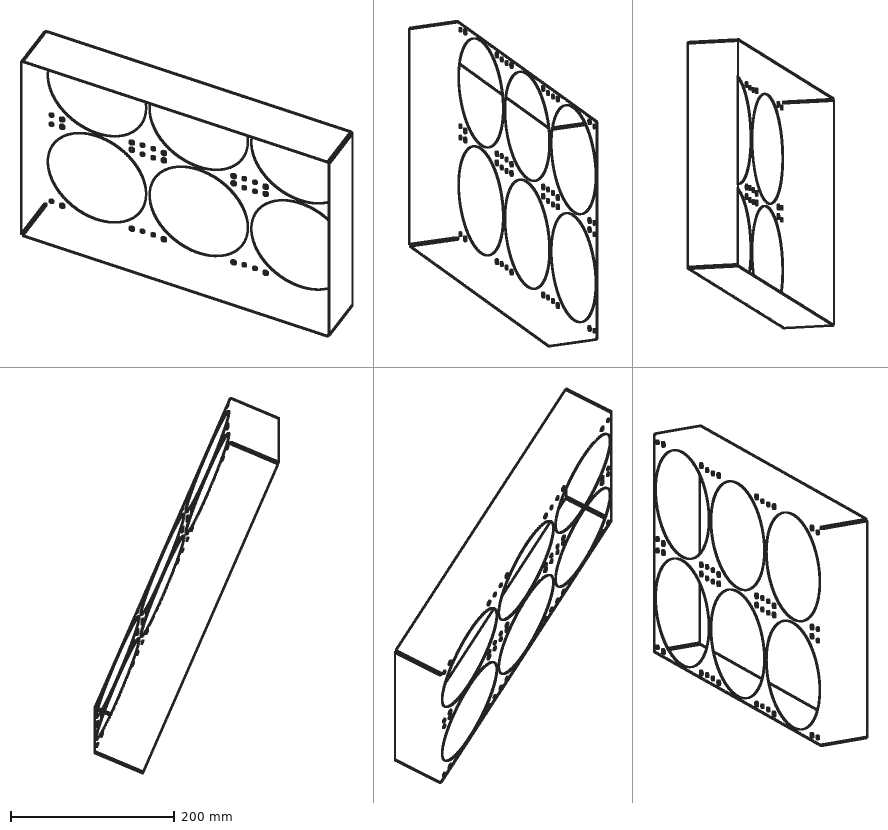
import cadquery as cq

LENGTH = 423.5
DEPTH = 65.0
HEIGHT = 283.5

THICKNESS = 1.0
BEND_INNER_RADIUS = 1.0
BEND_OUTER_RADIUS = BEND_INNER_RADIUS + THICKNESS

FLANGE_END_INSET = 2.5

FAN_COLUMNS = 3
FAN_ROWS = 2
FAN_PITCH = 139.7
OPENING_DIAMETER = 135.0
SCREW_SPACING = 125.0
SCREW_DIAMETER = 4.5
MOUNT_SPACING_X = 95.5
MOUNT_SPACING_Z = 128.0
MOUNT_DIAMETER = 6.0

FLAT_LENGTH = LENGTH - 2 * BEND_OUTER_RADIUS
FLAT_HEIGHT = HEIGHT - 2 * BEND_OUTER_RADIUS
SIDE_FLANGE_WIDTH = HEIGHT - 2 * FLANGE_END_INSET
LONG_FLANGE_WIDTH = LENGTH - 2 * FLANGE_END_INSET
BACK_Y = DEPTH / 2
FRONT_Y = -DEPTH / 2


def make_plate():
    """Flat rear plate, its outer face at BACK_Y."""
    return cq.Workplane("XY").box(FLAT_LENGTH, THICKNESS, FLAT_HEIGHT).translate(
        (0, BACK_Y - THICKNESS / 2, 0)
    )


def make_folded_flange(outer_x, width):
    """Fold and flange on the +X edge, with the flange's outer face at outer_x."""
    fold_x = outer_x - BEND_OUTER_RADIUS
    fold_y = BACK_Y - BEND_OUTER_RADIUS
    inner_x = outer_x - THICKNESS
    return (
        cq.Workplane("XY", origin=(0, 0, -width / 2))
        .moveTo(fold_x, BACK_Y)
        .radiusArc((outer_x, fold_y), BEND_OUTER_RADIUS)
        .lineTo(outer_x, FRONT_Y)
        .lineTo(inner_x, FRONT_Y)
        .lineTo(inner_x, fold_y)
        .radiusArc((fold_x, BACK_Y - THICKNESS), -BEND_INNER_RADIUS)
        .close()
        .extrude(width)
    )


def turn_about_y(body, angle):
    """Turn a body about the Y axis by an angle in degrees."""
    return body.rotate((0, 0, 0), (0, 1, 0), angle)


def make_cutters(points, diameter):
    """Cylinders along Y at the given (x, z) points, long enough to pierce the plate."""
    return (
        cq.Workplane("XZ", origin=(0, BACK_Y, 0))
        .pushPoints(points)
        .circle(diameter / 2)
        .extrude(2 * THICKNESS, both=True)
    )


def grid_points(columns, rows, pitch_x, pitch_z):
    """Points of a rectangular grid centred on the origin."""
    return [
        ((column - (columns - 1) / 2) * pitch_x, (row - (rows - 1) / 2) * pitch_z)
        for column in range(columns)
        for row in range(rows)
    ]


def around_each_fan(fan_centres, offsets):
    """Repeat a hole pattern around every fan centre."""
    return [(x + dx, z + dz) for x, z in fan_centres for dx, dz in offsets]


side_flange = make_folded_flange(LENGTH / 2, SIDE_FLANGE_WIDTH)
long_flange = make_folded_flange(HEIGHT / 2, LONG_FLANGE_WIDTH)
tray = make_plate()
for flange, first_angle in ((side_flange, 0), (long_flange, 90)):
    tray = tray.union(turn_about_y(flange, first_angle))
    tray = tray.union(turn_about_y(flange, first_angle + 180))

fan_centres = grid_points(FAN_COLUMNS, FAN_ROWS, FAN_PITCH, FAN_PITCH)
screw_offsets = grid_points(2, 2, SCREW_SPACING, SCREW_SPACING)
mount_offsets = grid_points(2, 2, MOUNT_SPACING_X, MOUNT_SPACING_Z)

result = (
    tray.cut(make_cutters(fan_centres, OPENING_DIAMETER))
    .cut(make_cutters(around_each_fan(fan_centres, screw_offsets), SCREW_DIAMETER))
    .cut(make_cutters(around_each_fan(fan_centres, mount_offsets), MOUNT_DIAMETER))
)